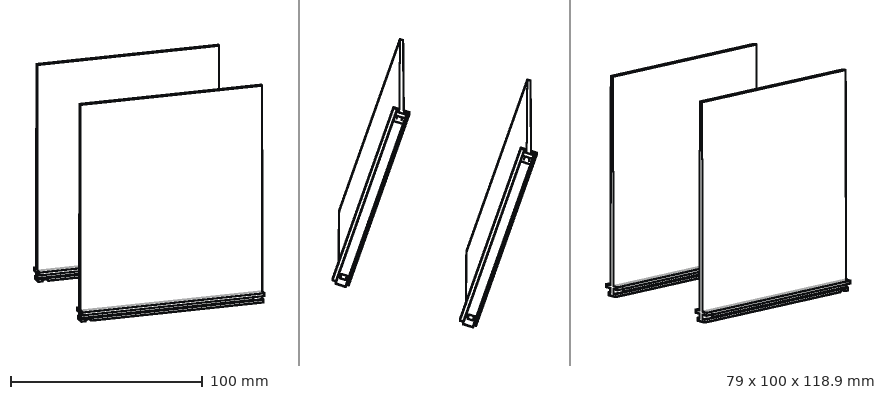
import cadquery as cq

DEPTH = 100.0
HEIGHT = 118.9
FLANGE_WIDTH = 8.9
OVERALL_WIDTH = 79.0
DIVIDER_SPACING = OVERALL_WIDTH - FLANGE_WIDTH
DIVIDER_COUNT = 2

FOOT_WIDTH = 5.6
FOOT_HEIGHT = 1.5
NECK_WIDTH = 2.7
NECK_HEIGHT = 2.5
FLANGE_HEIGHT = 1.5

PANEL_BASE_WIDTH = 2.5
PANEL_TOP_WIDTH = 1.8
ROOT_FILLET = 0.4

STOP_LENGTH = 5.4
STOP_FRONT_WIDTH = 5.1
STOP_BACK_WIDTH = NECK_WIDTH

DETENT_RADIUS = 1.8
BUMP_HEIGHT = 0.5
BUMP_WIDTH = 3.0
BUMP_Y = 45.2
NOTCH_DEPTH = 1.1
NOTCH_Y = -46.3

BACK_Y = DEPTH / 2
FOOT_Z = BUMP_HEIGHT
NECK_Z = FOOT_Z + FOOT_HEIGHT
FLANGE_Z = NECK_Z + NECK_HEIGHT
PANEL_Z = FLANGE_Z + FLANGE_HEIGHT


def bar(width, bottom_z, height):
    """Full-depth rectangular bar centred on X and Y."""
    box = cq.Workplane("XY").box(width, DEPTH, height, centered=(True, True, False))
    return box.translate((0, 0, bottom_z))


def panel():
    """Upright wall that thins evenly towards its top edge."""
    half_base = PANEL_BASE_WIDTH / 2
    half_top = PANEL_TOP_WIDTH / 2
    outline = [(-half_base, PANEL_Z), (half_base, PANEL_Z), (half_top, HEIGHT), (-half_top, HEIGHT)]
    return cq.Workplane("XZ").polyline(outline).close().extrude(DEPTH / 2, both=True)


def flanged_panel():
    """Panel on its flange, with a fillet along both sides of the root."""
    joined = bar(FLANGE_WIDTH, FLANGE_Z, FLANGE_HEIGHT).union(panel())
    half_base = PANEL_BASE_WIDTH / 2
    for x in (-half_base, half_base):
        joined = joined.edges(cq.selectors.NearestToPointSelector((x, 0, PANEL_Z))).fillet(ROOT_FILLET)
    return joined


def end_stop():
    """Wedge that widens the neck at the +Y end and narrows towards that end."""
    half_front = STOP_FRONT_WIDTH / 2
    half_back = STOP_BACK_WIDTH / 2
    front_y = BACK_Y - STOP_LENGTH
    outline = [(-half_front, front_y), (half_front, front_y), (half_back, BACK_Y), (-half_back, BACK_Y)]
    return cq.Workplane("XY", origin=(0, 0, NECK_Z)).polyline(outline).close().extrude(NECK_HEIGHT)


def detent_cylinder(width, y, z):
    """Cylinder along X, centred on X = 0."""
    return cq.Workplane("YZ").center(y, z).circle(DETENT_RADIUS).extrude(width / 2, both=True)


def detent_bump():
    """Part of the cylinder from its lowest line up to the middle of the foot."""
    cylinder = detent_cylinder(BUMP_WIDTH, BUMP_Y, DETENT_RADIUS)
    return cylinder.intersect(bar(BUMP_WIDTH, 0, FOOT_Z + FOOT_HEIGHT / 2))


def detent_notch():
    return detent_cylinder(FOOT_WIDTH, NOTCH_Y, FOOT_Z + NOTCH_DEPTH - DETENT_RADIUS)


def divider():
    foot = bar(FOOT_WIDTH, FOOT_Z, FOOT_HEIGHT).cut(detent_notch()).union(detent_bump())
    neck = bar(NECK_WIDTH, NECK_Z, NECK_HEIGHT).union(end_stop())
    return flanged_panel().union(neck).union(foot)


dividers = []
for index in range(DIVIDER_COUNT):
    x = (index - (DIVIDER_COUNT - 1) / 2) * DIVIDER_SPACING
    dividers.append(divider().translate((x, 0, 0)).val())

result = cq.Compound.makeCompound(dividers)